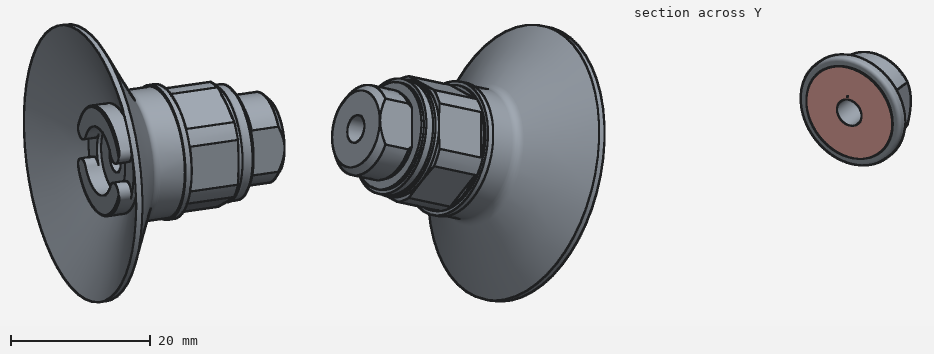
import cadquery as cq
import math


cup_radius = 40.0 / 2
rim_width = 1.0
neck_radius = 19.0 / 2
cone_corner_y = 7.57
neck_fillet = 1.63
cup_floor_y = 5.6

boss_radius = 16.0 / 2
boss_face_y = 4.85
recess_radius = 10.0 / 2
recess_floor_y = 5.5
rib_face_y = 2.85
rib_gap = 3.0
rib_chamfer = 0.2
bore_radius = 4.0 / 2

collar_radius = 19.5 / 2
collar_start_y = 12.2
collar_end_y = 13.15
hex_start_y = 13.45
hex_end_y = 21.05
hex_corner_radius = 18.3 / 2
hex_across_flats = 17.0
hex_corner_drop = 0.12

shoulder_radius = 17.0 / 2
shoulder_end_y = 21.65
groove_radius = 14.4 / 2
ring_start_y = 21.77
ring_radius = 16.8 / 2
ring_round = 0.5
ring_end_y = 23.25
ring_step_radius = 15.6 / 2

spigot_start_y = 23.7
spigot_radius = 13.157 / 2
spigot_root_radius = 6.32
spigot_root_end_y = 24.35
spigot_across_flats = 11.25
tip_chamfer = 1.0
part_length = 29.5


def cylinder(radius, start_y, end_y):
    """Solid cylinder on the Y axis."""
    return cq.Workplane("XZ", origin=(0, start_y, 0)).circle(radius).extrude(start_y - end_y)


def turned(profile):
    """Revolve a closed (radius, y) outline about the Y axis."""
    return profile.close().revolve(360, (0, 0, 0), (0, 1, 0))


def make_cup():
    """Flared cup with a filleted neck; its inner cone ends at the boss."""
    cone_tilt = math.atan2(cup_radius - neck_radius, cone_corner_y - rim_width)
    tangent_length = neck_fillet * math.tan(cone_tilt / 2)
    fillet_top_y = cone_corner_y + tangent_length
    fillet_centre_radius = neck_radius + neck_fillet
    fillet_middle = (
        fillet_centre_radius - neck_fillet * math.cos(cone_tilt / 2),
        fillet_top_y - neck_fillet * math.sin(cone_tilt / 2),
    )
    fillet_end = (
        fillet_centre_radius - neck_fillet * math.cos(cone_tilt),
        fillet_top_y - neck_fillet * math.sin(cone_tilt),
    )
    profile = (
        cq.Workplane("XY")
        .moveTo(0, cup_floor_y)
        .lineTo(boss_radius, cup_floor_y)
        .lineTo(cup_radius, 0)
        .lineTo(cup_radius, rim_width)
        .lineTo(*fillet_end)
        .threePointArc(fillet_middle, (neck_radius, fillet_top_y))
        .lineTo(neck_radius, collar_start_y)
        .lineTo(0, collar_start_y)
    )
    return turned(profile)


def make_rib(side):
    """Curved rib with round ends, above (side = 1) or below (side = -1) the axis.

    The inner side is left straight here; cutting the recess gives it its round wall.
    """
    middle_radius = (boss_radius + recess_radius) / 2
    end_radius = (boss_radius - recess_radius) / 2
    end_angle = math.asin((rib_gap / 2 + end_radius) / middle_radius)

    def polar(radius, angle, sideways=0.0):
        x = radius * math.cos(angle) + sideways * math.sin(angle)
        z = radius * math.sin(angle) - sideways * math.cos(angle)
        return x, side * z

    def mirrored(point):
        return -point[0], point[1]

    outer_end = polar(boss_radius, end_angle)
    inner_end = polar(recess_radius, end_angle)
    end_tip = polar(middle_radius, end_angle, end_radius)
    rib = (
        cq.Workplane("XZ", origin=(0, boss_face_y, 0))
        .moveTo(*outer_end)
        .threePointArc((0, side * boss_radius), mirrored(outer_end))
        .threePointArc(mirrored(end_tip), mirrored(inner_end))
        .lineTo(*inner_end)
        .threePointArc(end_tip, outer_end)
        .close()
        .extrude(boss_face_y - rib_face_y)
    )
    envelope = cylinder(boss_radius, rib_face_y, boss_face_y).faces("<Y").chamfer(rib_chamfer)
    return rib.intersect(envelope)


def make_hexagon():
    """Hexagon with rounded corners and two flats square to X."""
    blank = turned(
        cq.Workplane("XY")
        .moveTo(0, hex_start_y)
        .lineTo(hex_corner_radius, hex_start_y)
        .lineTo(hex_corner_radius, hex_end_y - hex_corner_drop)
        .lineTo(shoulder_radius, hex_end_y)
        .lineTo(0, hex_end_y)
    )
    prism = (
        cq.Workplane("XZ", origin=(0, hex_start_y, 0))
        .polygon(6, hex_across_flats, circumscribed=True)
        .extrude(hex_start_y - hex_end_y)
    )
    return blank.intersect(prism)


def make_seal():
    """Shoulder, narrow groove and sealing ring rounded toward the groove."""
    ring = cylinder(ring_radius, ring_start_y, ring_end_y).faces("<Y").edges().fillet(ring_round)
    return (
        cylinder(shoulder_radius, hex_end_y, shoulder_end_y)
        .union(cylinder(groove_radius, shoulder_end_y, ring_start_y))
        .union(ring)
        .union(cylinder(ring_step_radius, ring_end_y, spigot_start_y))
    )


def make_spigot():
    """Round spigot with a narrowed root, a chamfered tip and two flats."""
    blank = turned(
        cq.Workplane("XY")
        .moveTo(0, spigot_start_y)
        .lineTo(spigot_root_radius, spigot_start_y)
        .lineTo(spigot_radius, spigot_root_end_y)
        .lineTo(spigot_radius, part_length - tip_chamfer)
        .lineTo(spigot_radius - tip_chamfer, part_length)
        .lineTo(0, part_length)
    )
    between_flats = cq.Workplane("XY").box(spigot_across_flats, 2 * part_length, 2 * spigot_radius)
    return blank.intersect(between_flats)


body = (
    make_cup()
    .union(cylinder(boss_radius, boss_face_y, cup_floor_y))
    .union(cylinder(collar_radius, collar_start_y, collar_end_y))
    .union(cylinder(hex_corner_radius, collar_end_y, hex_start_y))
    .union(make_hexagon())
    .union(make_seal())
    .union(make_spigot())
)
for rib_side in (1, -1):
    body = body.union(make_rib(rib_side))

recess = cylinder(recess_radius, rib_face_y, recess_floor_y)
bore = cylinder(bore_radius, 0, part_length)
result = body.cut(recess).cut(bore)